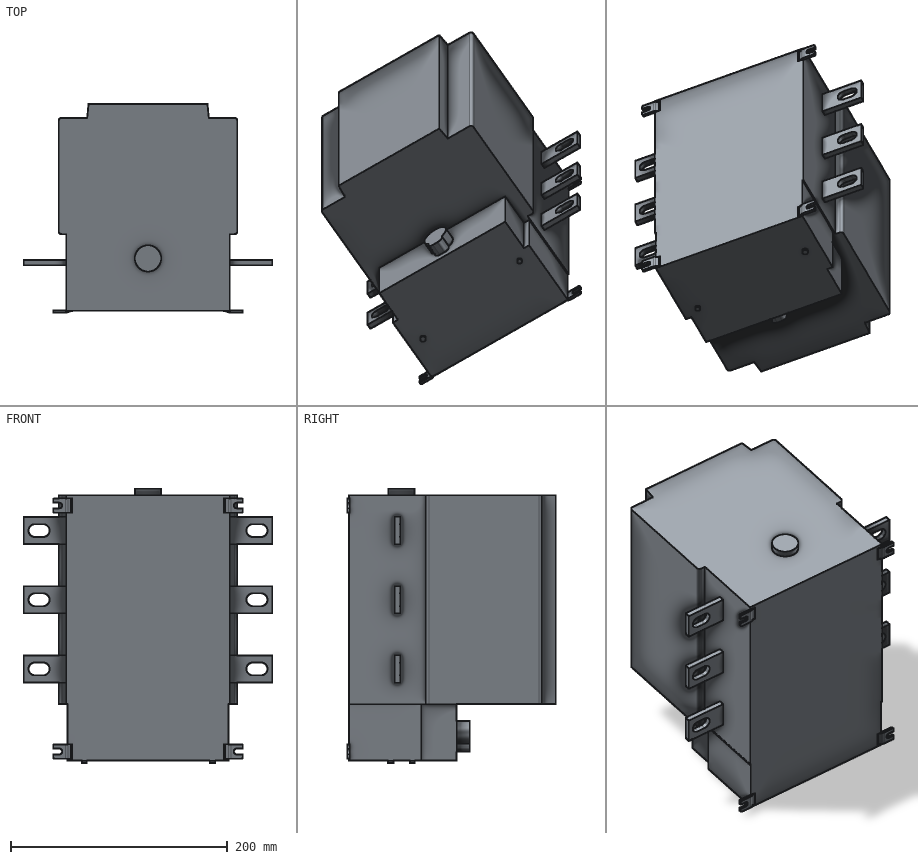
import cadquery as cq


overall_height = 253.3

base_height = 52.2
body_height = 245.0
front_half_width = 75.5
middle_half_width = 82.5
crown_root_half_width = 56.2
crown_half_width = 55.0
middle_front_y = 70.7
middle_back_y = 178.0
body_back_y = 191.0
shoulder_radius = 2.8

base_half_width = 74.5
base_step_y = 66.9
rear_base_half_width = 69.0
base_back_y = 99.3

button_diameter = 24.3
button_height = 6.0
button_y = 48.5

terminal_half_span = 114.7
terminal_height = 25.0
terminal_thickness = 5.0
terminal_y = 44.5
terminal_pitch = 63.8
middle_terminal_z = 148.5
slot_x = 100.5
slot_length = 19.3
slot_width = 11.7

lug_outer_x = 87.6
lug_bend_x = 75.2
lug_foot_x = 71.2
lug_inner_x = 70.0
lug_front_y = -1.8
lug_foot_y = -0.3
lug_back_y = 0.5
lug_bend_radius = 6.3
lug_height = 13.5
lug_slot_width = 5.3
lug_slot_depth = 8.4
lug_corner_radius = 1.5
lug_heights = (8.4, 235.3)

knob_radius = 12.0
knob_length = 12.2
knob_z = 24.8
pointer_half_width = 7.3
pointer_reach = 16.7
pointer_corner_radius = 4.8

screw_length = overall_height - button_height - body_height
narrow_screw = {"x": -58.8, "y": 58.5, "diameter": 4.5}
wide_screw = {"x": 59.5, "y": 38.5, "diameter": 5.3}


def box(half_width, y_range, z_range):
    """Box centred on X = 0."""
    y_low, y_high = y_range
    z_low, z_high = z_range
    return (
        cq.Workplane("XY")
        .box(2 * half_width, y_high - y_low, z_high - z_low, centered=(True, False, False))
        .translate((0, y_low, z_low))
    )


def make_housing():
    """Upper body: a wide middle between a narrower front and a slightly tapered crown."""
    height_range = (base_height, body_height)
    front = box(front_half_width, (0, middle_front_y), height_range)
    middle = box(middle_half_width, (middle_front_y, middle_back_y), height_range)
    middle = middle.edges("|Z").fillet(shoulder_radius)
    crown = (
        cq.Workplane("XY", origin=(0, 0, base_height))
        .moveTo(-crown_root_half_width, middle_back_y)
        .lineTo(crown_root_half_width, middle_back_y)
        .lineTo(crown_half_width, body_back_y)
        .lineTo(-crown_half_width, body_back_y)
        .close()
        .extrude(body_height - base_height)
    )
    return front.union(middle).union(crown)


def make_base():
    front = box(base_half_width, (0, base_step_y), (0, base_height))
    rear = box(rear_base_half_width, (base_step_y, base_back_y), (0, base_height))
    return front.union(rear)


def make_button():
    return (
        cq.Workplane("XY", origin=(0, button_y, body_height))
        .circle(button_diameter / 2)
        .extrude(button_height)
    )


def make_terminal(z):
    """Bar right across the housing, with a slot near each end."""
    y_range = (terminal_y - terminal_thickness / 2, terminal_y + terminal_thickness / 2)
    z_range = (z - terminal_height / 2, z + terminal_height / 2)
    slots = (
        cq.Workplane("XZ", origin=(0, terminal_y, z))
        .pushPoints([(-slot_x, 0), (slot_x, 0)])
        .slot2D(slot_length, slot_width)
        .extrude(terminal_thickness, both=True)
    )
    return box(terminal_half_span, y_range, z_range).cut(slots)


def make_lug(z):
    """Right-hand lug: flat open-slotted plate whose inner end slopes back to a thin foot on the body."""
    plate = (
        cq.Workplane("XY", origin=(0, 0, z - lug_height / 2))
        .moveTo(lug_outer_x, lug_back_y)
        .lineTo(lug_outer_x, lug_front_y)
        .lineTo(lug_bend_x, lug_front_y)
        .lineTo(lug_foot_x, lug_foot_y)
        .lineTo(lug_inner_x, lug_foot_y)
        .lineTo(lug_inner_x, lug_back_y)
        .close()
        .extrude(lug_height)
    )
    bend_edge = cq.selectors.NearestToPointSelector((lug_bend_x, lug_front_y, z))
    plate = plate.edges(bend_edge).fillet(lug_bend_radius)
    plate = plate.edges("|Y and >X").fillet(lug_corner_radius)
    open_slot = (
        cq.Workplane("XZ", origin=(lug_outer_x, 0, z))
        .slot2D(2 * lug_slot_depth, lug_slot_width)
        .extrude(lug_back_y - lug_front_y, both=True)
    )
    return plate.cut(open_slot)


def make_knob():
    """Round knob with a pointer hanging below it."""
    disc = (
        cq.Workplane("XZ", origin=(0, base_back_y, knob_z))
        .circle(knob_radius)
        .extrude(-knob_length)
    )
    pointer = box(
        pointer_half_width,
        (base_back_y, base_back_y + knob_length),
        (knob_z - pointer_reach, knob_z),
    )
    pointer = pointer.edges("|Y and <Z").fillet(pointer_corner_radius)
    return disc.union(pointer)


def make_screw(screw):
    return (
        cq.Workplane("XY", origin=(screw["x"], screw["y"], 0))
        .circle(screw["diameter"] / 2)
        .extrude(-screw_length)
    )


result = make_housing().union(make_base()).union(make_button()).union(make_knob())

for row in (-1, 0, 1):
    result = result.union(make_terminal(middle_terminal_z + row * terminal_pitch))

for lug_z in lug_heights:
    lug = make_lug(lug_z)
    result = result.union(lug).union(lug.mirror("YZ"))

for screw in (narrow_screw, wide_screw):
    result = result.union(make_screw(screw))